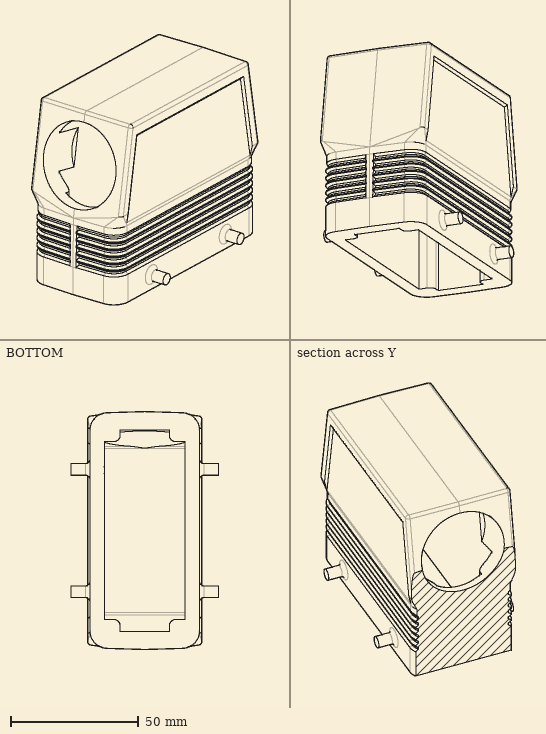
import cadquery as cq
import math

SKIRT_SWELL = 0.03
HOOD_SWELL = 0.017

BASE_HALF_X = 21.5
BASE_HALF_Y = 46.75
BASE_TOP = 11.9
SKIRT_RADIUS = 6.9

NECK_INSET = 0.4
NECK_HALF_Y = BASE_HALF_Y - NECK_INSET
NECK_BOTTOM = 29.9
NECK_TOP = 32.9

GRIP_GROOVES = 6
GROOVE_DEPTH = 1.0
RIDGE_FLAT = 0.4
RIDGE_SLOPE = 0.9
RIB_HALF_WIDTH = 1.4
RIB_FLARE = 0.9

HOOD_HALF_X = 22.4
HOOD_BOTTOM = 38.7
HOOD_TOP = 76.0
HOOD_RADIUS = 1.4
ROOF_EDGE_RADIUS = 1.3
ROOF_FALL = 0.2
END_SLOPE = math.tan(math.radians(10))

PANEL_DEPTH = 0.9
PANEL_TOP = 70.8
PANEL_TOP_HALF_Y = 34.7
PANEL_WALL = 1.0

PEG_RADIUS = 2.3
PEG_TIP = 29.0
PEG_Y = 24.0
PEG_Z = 6.4
PEG_FILLET = 1.7

CAVITY_HALF_X = 15.8
CAVITY_TOP = 70.5
CAVITY_ROOF_RADIUS = 0.9
PILLAR_FACE_Y = 34.9
PILLAR_TOP = 59.6
PILLAR_GAP_HALF_X = 9.6
PILLAR_RADIUS = 2.6

ENTRY_RADIUS = 17.8
ENTRY_Z = 54.2
ENTRY_DEPTH = 19.2
ENTRY_CLEARANCE = 0.9


def hood_half_y(z):
    """Distance of the sloping end's ridge from the middle at height z."""
    return NECK_HALF_Y - END_SLOPE * (z - NECK_TOP)


def section(half_x, half_y, radius, z, swell):
    """Horizontal wire: rounded corners, ends swelling to a ridge at X = 0."""
    corner_y = half_y - swell * half_x
    outline = [
        (-half_x, -corner_y), (0, -half_y), (half_x, -corner_y),
        (half_x, corner_y), (0, half_y), (-half_x, corner_y),
    ]
    block = cq.Workplane("XY").workplane(offset=z).polyline(outline).close().extrude(0.9)
    corners = block.edges("|Z").edges("<X or >X")
    return corners.fillet(radius).faces("<Z").wires().val()


def skin(*wires):
    """Solid with straight walls through a stack of sections."""
    return cq.Workplane(cq.Solid.makeLoft(list(wires), True))


def skirt_section(inset, z):
    return section(BASE_HALF_X - inset, BASE_HALF_Y - inset, SKIRT_RADIUS - inset, z, SKIRT_SWELL)


def make_grip():
    """Ridged band between base and neck, with the upright rib at both ends."""
    pitch = (NECK_BOTTOM - BASE_TOP) / GRIP_GROOVES
    valley = pitch - RIDGE_FLAT - 2 * RIDGE_SLOPE
    wires = [skirt_section(0, BASE_TOP)]
    for groove in range(GRIP_GROOVES):
        valley_start = BASE_TOP + groove * pitch + RIDGE_FLAT / 2 + RIDGE_SLOPE
        valley_end = valley_start + valley
        wires.append(skirt_section(0, valley_start - RIDGE_SLOPE))
        wires.append(skirt_section(GROOVE_DEPTH, valley_start))
        wires.append(skirt_section(GROOVE_DEPTH, valley_end))
        if groove < GRIP_GROOVES - 1:
            wires.append(skirt_section(0, valley_end + RIDGE_SLOPE))
    wires.append(skirt_section(NECK_INSET, NECK_BOTTOM))
    grip = skin(*wires)

    envelope = skin(skirt_section(0, BASE_TOP), skirt_section(NECK_INSET, NECK_BOTTOM))
    outer_y = BASE_HALF_Y
    inner_y = BASE_HALF_Y - NECK_INSET - GROOVE_DEPTH
    flared = RIB_HALF_WIDTH + RIB_FLARE
    for end in (-1, 1):
        rib = (
            cq.Workplane("XY").workplane(offset=BASE_TOP)
            .polyline([
                (-RIB_HALF_WIDTH, end * outer_y), (RIB_HALF_WIDTH, end * outer_y),
                (flared, end * inner_y), (-flared, end * inner_y),
            ])
            .close().extrude(NECK_BOTTOM - BASE_TOP)
        )
        ridge_gap = (
            cq.Workplane("XY").workplane(offset=BASE_TOP).center(0, end * outer_y)
            .rect(2 * RIB_HALF_WIDTH, 2 * (outer_y - inner_y))
            .extrude(NECK_BOTTOM - BASE_TOP)
        )
        grip = grip.cut(ridge_gap).union(rib.intersect(envelope))
    return grip


def hood_section(z):
    return section(HOOD_HALF_X, hood_half_y(z), HOOD_RADIUS, z, HOOD_SWELL)


def make_hood():
    """Tapered hood with rounded edges, its roof falling slightly to both sides."""
    shell = skin(hood_section(HOOD_BOTTOM), hood_section(HOOD_TOP))
    eaves_z = HOOD_TOP - ROOF_FALL
    gable = (
        cq.Workplane("XZ")
        .polyline([
            (-HOOD_HALF_X, HOOD_BOTTOM), (HOOD_HALF_X, HOOD_BOTTOM),
            (HOOD_HALF_X, eaves_z), (0, HOOD_TOP), (-HOOD_HALF_X, eaves_z),
        ])
        .close().extrude(BASE_HALF_Y, both=True)
    )
    roof_zone = cq.selectors.BoxSelector(
        (-BASE_HALF_Y, -BASE_HALF_Y, eaves_z - ROOF_FALL),
        (BASE_HALF_Y, BASE_HALF_Y, HOOD_TOP + ROOF_FALL),
    )
    ridge_zone = cq.selectors.BoxSelector(
        (-ROOF_FALL, -ROOF_FALL, eaves_z), (ROOF_FALL, ROOF_FALL, HOOD_TOP + ROOF_FALL)
    )
    return shell.intersect(gable).edges(roof_zone - ridge_zone).fillet(ROOF_EDGE_RADIUS)


def make_blend():
    """Transition from the hood's rim to the neck; the hood's end planes run down it to a point."""
    rim_y = hood_half_y(HOOD_BOTTOM) + HOOD_HALF_X * (SKIRT_SWELL - HOOD_SWELL)
    rim = section(HOOD_HALF_X, rim_y, HOOD_RADIUS, HOOD_BOTTOM, SKIRT_SWELL)
    blend = skin(skirt_section(NECK_INSET, NECK_TOP), rim)
    return blend.intersect(skin(hood_section(NECK_TOP), hood_section(HOOD_BOTTOM)))


def panel_outline(x, shrink):
    """Trapezoid in the plane at x, its sides parallel to the hood's sloping ends."""
    top_half_y = PANEL_TOP_HALF_Y - shrink + END_SLOPE * shrink
    top = PANEL_TOP - shrink
    bottom_half_y = top_half_y + END_SLOPE * (top - NECK_TOP)
    points = [
        (x, -bottom_half_y, NECK_TOP), (x, bottom_half_y, NECK_TOP),
        (x, top_half_y, top), (x, -top_half_y, top),
    ]
    return cq.Wire.makePolygon([cq.Vector(*point) for point in points], close=True)


def make_panel_recess(side):
    floor = panel_outline(side * (HOOD_HALF_X - PANEL_DEPTH), PANEL_WALL)
    mouth = panel_outline(side * HOOD_HALF_X, 0)
    return skin(floor, mouth)


def make_peg(side, y):
    """Round peg pointing along X with a concave fillet at the wall."""
    root = BASE_HALF_X
    buried = CAVITY_HALF_X + (BASE_HALF_X - CAVITY_HALF_X) / 2
    foot = PEG_RADIUS + PEG_FILLET
    sag = PEG_FILLET * (1 - math.sqrt(0.5))
    profile = (
        cq.Workplane("XY")
        .moveTo(buried, 0).lineTo(PEG_TIP, 0).lineTo(PEG_TIP, PEG_RADIUS)
        .lineTo(root + PEG_FILLET, PEG_RADIUS)
        .threePointArc((root + sag, PEG_RADIUS + sag), (root, foot))
        .lineTo(buried, foot).close()
    )
    peg = profile.revolve(360, (0, 0, 0), (1, 0, 0))
    if side < 0:
        peg = peg.mirror("YZ")
    return peg.translate((0, y, PEG_Z))


def make_cavity():
    """Inner space, open below, parallel to the sloping ends and narrowed by the corner pillars."""
    foot_y = PILLAR_FACE_Y + END_SLOPE * (PILLAR_TOP - NECK_TOP)
    roof_y = PILLAR_FACE_Y - END_SLOPE * (CAVITY_TOP - PILLAR_TOP)
    profile = [
        (-foot_y, 0), (foot_y, 0), (foot_y, NECK_TOP),
        (roof_y, CAVITY_TOP), (-roof_y, CAVITY_TOP), (-foot_y, NECK_TOP),
    ]
    cavity = (
        cq.Workplane("YZ").polyline(profile).close()
        .extrude(CAVITY_HALF_X, both=True)
        .faces(">Z").edges("|X").fillet(CAVITY_ROOF_RADIUS)
    )
    pillar_x = CAVITY_HALF_X - PILLAR_GAP_HALF_X
    pillar_y = foot_y - PILLAR_FACE_Y
    for side in (-1, 1):
        for end in (-1, 1):
            inward_x = "<X" if side > 0 else ">X"
            inward_y = "<Y" if end > 0 else ">Y"
            pillar = (
                cq.Workplane("XY")
                .box(pillar_x, pillar_y, CAVITY_TOP, centered=(True, True, False))
                .faces(inward_x).edges(inward_y).fillet(PILLAR_RADIUS)
                .translate((
                    side * (PILLAR_GAP_HALF_X + pillar_x / 2),
                    end * (PILLAR_FACE_Y + pillar_y / 2), 0,
                ))
            )
            cavity = cavity.cut(pillar)
    return cavity


def make_entry():
    slope = math.atan(END_SLOPE)
    outward = cq.Vector(0, -math.cos(slope), math.sin(slope))
    face_centre = cq.Vector(0, -hood_half_y(ENTRY_Z), ENTRY_Z)
    start = face_centre + outward * ENTRY_CLEARANCE
    return cq.Workplane(
        cq.Solid.makeCylinder(ENTRY_RADIUS, ENTRY_DEPTH + ENTRY_CLEARANCE, start, outward * -1)
    )


base = skin(skirt_section(0, 0), skirt_section(0, BASE_TOP))
neck = skin(skirt_section(NECK_INSET, NECK_BOTTOM), skirt_section(NECK_INSET, NECK_TOP))
result = base.union(make_grip()).union(neck).union(make_blend()).union(make_hood())

for side in (-1, 1):
    result = result.cut(make_panel_recess(side))
    for peg_y in (-PEG_Y, PEG_Y):
        result = result.union(make_peg(side, peg_y))

result = result.cut(make_cavity()).cut(make_entry())